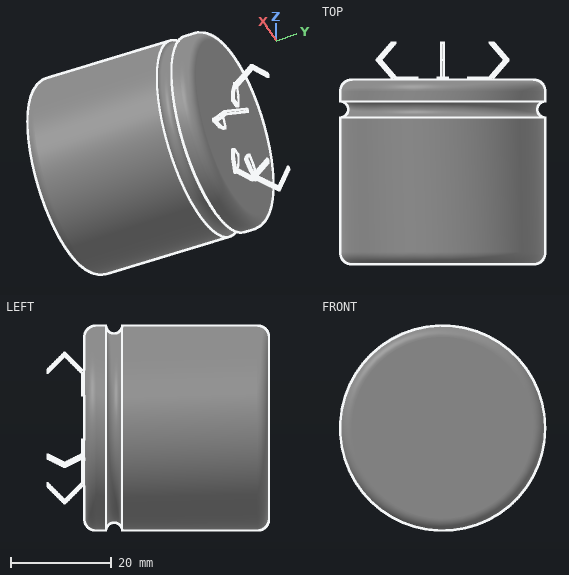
import cadquery as cq
import math


TOTAL_LENGTH = 44.3
CAN_RADIUS = 20.5
CAN_LENGTH = 36.95
RIM_FILLET = 2.35
GROOVE_RADIUS = 1.6
GROOVE_FROM_BACK = 6.0

TERMINAL_ANGLES = (90, 210, 270, 330)
PAD_HEIGHT = 0.45
PAD_WIDTH = 2.13
PAD_INNER_RADIUS = 6.45
PAD_TAPER_RADIUS = 8.85
PIN_OUTER_RADIUS = 11.6
PIN_WIDTH = 0.58
PIN_THICKNESS = 0.6
PIN_BEND_ANGLE = 45.0

PIN_INNER_RADIUS = PIN_OUTER_RADIUS - PIN_THICKNESS
PAD_TOP = CAN_LENGTH + PAD_HEIGHT
PIN_HALF_LENGTH = (TOTAL_LENGTH - PAD_TOP) / 2
PIN_KICK = PIN_HALF_LENGTH * math.tan(math.radians(PIN_BEND_ANGLE))


def make_can():
    """Round can with filleted rims and a half-round bead groove near the back."""
    cylinder = cq.Workplane("XZ").circle(CAN_RADIUS).extrude(-CAN_LENGTH)
    can = cylinder.edges("%CIRCLE").fillet(RIM_FILLET)
    groove = (
        cq.Workplane("XY")
        .center(CAN_RADIUS, CAN_LENGTH - GROOVE_FROM_BACK)
        .circle(GROOVE_RADIUS)
        .revolve(360, (-CAN_RADIUS, 0), (-CAN_RADIUS, 1))
    )
    return can.cut(groove)


def make_pad():
    """Flat pad along +X that narrows to the width of the pin."""
    half_outline = [
        (PAD_INNER_RADIUS, PAD_WIDTH / 2),
        (PAD_TAPER_RADIUS, PAD_WIDTH / 2),
        (PIN_INNER_RADIUS, PIN_WIDTH / 2),
        (PIN_OUTER_RADIUS, PIN_WIDTH / 2),
    ]
    mirrored_half = [(radius, -side) for radius, side in reversed(half_outline)]
    return (
        cq.Workplane("XZ", origin=(0, CAN_LENGTH, 0))
        .polyline(half_outline + mirrored_half)
        .close()
        .extrude(-PAD_HEIGHT)
    )


def make_pin():
    """Pin that kicks outwards from the pad and then back in to its tip."""
    bend_y = PAD_TOP + PIN_HALF_LENGTH
    outline = [
        (PIN_INNER_RADIUS, PAD_TOP),
        (PIN_OUTER_RADIUS, PAD_TOP),
        (PIN_OUTER_RADIUS + PIN_KICK, bend_y),
        (PIN_OUTER_RADIUS, TOTAL_LENGTH),
        (PIN_INNER_RADIUS, TOTAL_LENGTH),
        (PIN_INNER_RADIUS + PIN_KICK, bend_y),
    ]
    return cq.Workplane("XY").polyline(outline).close().extrude(PIN_WIDTH / 2, both=True)


result = make_can()
terminal = make_pad().union(make_pin())
for angle in TERMINAL_ANGLES:
    result = result.union(terminal.rotate((0, 0, 0), (0, 1, 0), -angle))